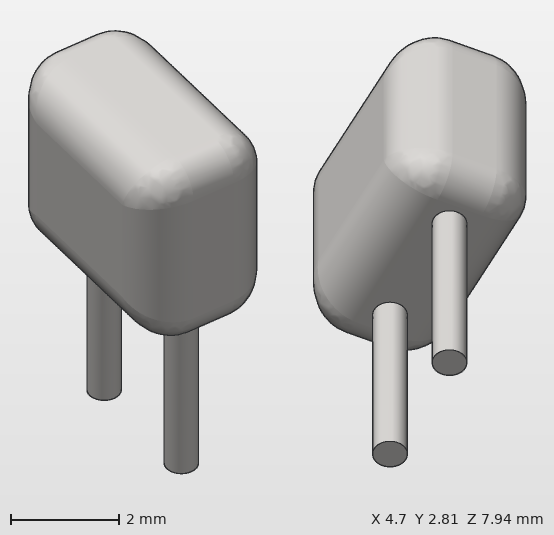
import cadquery as cq
import math

body_width = 4.7
body_depth = 2.81
body_height = 4.13
corner_radius = 0.64
face_radius = 0.95

overall_height = 7.94
lead_diameter = 0.64
lead_pitch = 2.54
lead_embed = body_height / 2
lead_length = overall_height - body_height

half_width = body_width / 2
half_height = body_height / 2
band_half_depth = body_depth / 2 - face_radius
apex_x = half_width - face_radius
apex_z = half_height - face_radius
arc_x = half_width - corner_radius
arc_z = half_height - corner_radius


def make_core():
    """Two crossed rounded bars whose overlap has mitred corners."""
    across = (
        cq.Workplane("XY")
        .box(body_width, body_depth, body_height)
        .edges("|Z")
        .fillet(face_radius)
    )
    along = (
        cq.Workplane("XY")
        .box(body_width, body_depth, body_height)
        .edges("|X")
        .fillet(face_radius)
    )
    return across.intersect(along)


def make_corner_column():
    """Full-depth column enclosing the +X +Z corner region."""
    return (
        cq.Workplane("XZ")
        .moveTo(apex_x, apex_z)
        .lineTo(half_width, arc_z)
        .lineTo(half_width, half_height)
        .lineTo(arc_x, half_height)
        .close()
        .extrude(body_depth / 2, both=True)
    )


def cap_point(angle, slope):
    """Point on the corner cap: the outline arc shrinks to the apex along a quarter ellipse."""
    outline_x = arc_x + corner_radius * math.cos(angle)
    outline_z = arc_z + corner_radius * math.sin(angle)
    shrink = math.cos(slope)
    return cq.Vector(
        apex_x + shrink * (outline_x - apex_x),
        band_half_depth + face_radius * math.sin(slope),
        apex_z + shrink * (outline_z - apex_z),
    )


def make_corner_cap():
    """Smooth three-sided cap over the +X +Y +Z corner."""
    quarter = math.pi / 2
    center = cq.Vector(apex_x, band_half_depth, apex_z)
    apex = cap_point(0, quarter)
    side_end = cap_point(0, 0)
    top_end = cap_point(quarter, 0)

    def ellipse_edge(end):
        radial = end - center
        normal = radial.cross(cq.Vector(0, 1, 0))
        return cq.Edge.makeEllipse(
            radial.Length, face_radius, center, normal, radial, 0, 90
        )

    side_curve = ellipse_edge(side_end)
    top_curve = ellipse_edge(top_end)
    outline = cq.Edge.makeThreePointArc(side_end, cap_point(quarter / 2, 0), top_end)
    spine = cq.Edge.makeLine(center, apex)
    side_base = cq.Edge.makeLine(center, side_end)
    top_base = cq.Edge.makeLine(center, top_end)

    steps = 6
    guide_points = [
        cap_point(quarter * i / steps, quarter * j / steps)
        for i in range(1, steps)
        for j in range(1, steps)
    ]
    faces = [
        cq.Face.makeNSidedSurface([side_curve, outline, top_curve], guide_points),
        cq.Face.makeFromWires(cq.Wire.assembleEdges([side_base, side_curve, spine])),
        cq.Face.makeFromWires(cq.Wire.assembleEdges([top_base, top_curve, spine])),
        cq.Face.makeFromWires(cq.Wire.assembleEdges([side_base, outline, top_base])),
    ]
    solid = cq.Solid.makeSolid(cq.Shell.makeShell(faces)).fix()
    return cq.Workplane(solid)


def make_corner():
    """Rounded +X +Z corner: a middle band with a cap at each end."""
    diagonal = corner_radius / math.sqrt(2)
    band = (
        cq.Workplane("XZ")
        .moveTo(apex_x, apex_z)
        .lineTo(half_width, arc_z)
        .threePointArc((arc_x + diagonal, arc_z + diagonal), (arc_x, half_height))
        .close()
        .extrude(band_half_depth, both=True)
    )
    cap = make_corner_cap()
    return band.union(cap).union(cap.mirror("XZ"))


def at_all_corners(right_top):
    """The +X +Z piece together with its three mirror images."""
    right = [right_top, right_top.mirror("XY")]
    return right + [piece.mirror("YZ") for piece in right]


def make_leads():
    """Pair of straight round wires hanging below the body."""
    lead_places = [(-lead_pitch / 2, 0), (lead_pitch / 2, 0)]
    return (
        cq.Workplane("XY")
        .pushPoints(lead_places)
        .circle(lead_diameter / 2)
        .extrude(-(lead_embed + lead_length))
    )


body = make_core()
for column in at_all_corners(make_corner_column()):
    body = body.cut(column)
for corner in at_all_corners(make_corner()):
    body = body.union(corner)

result = body.union(make_leads())